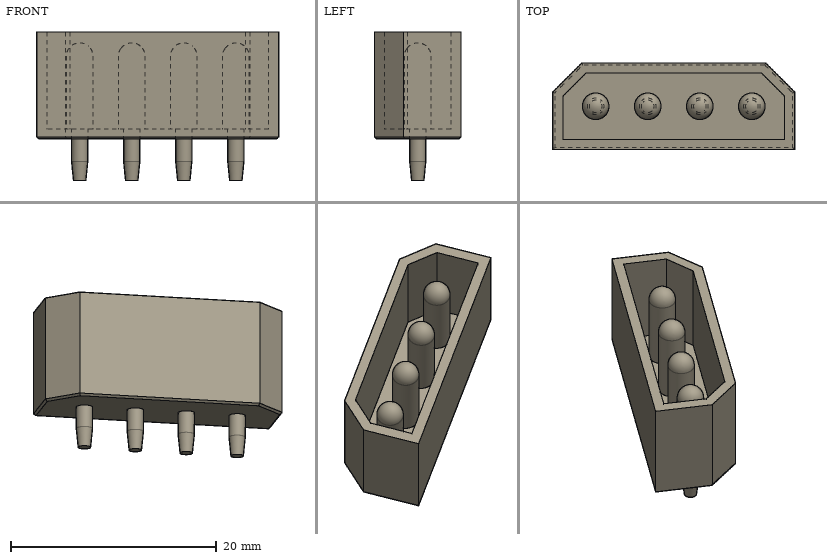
import cadquery as cq
import math

LENGTH = 23.6
WIDTH = 8.45
HOUSING_HEIGHT = 10.43
CORNER_CUT = 2.83
WALL = 1.0
FLOOR = WALL
BOTTOM_CHAMFER = 0.21

PIN_COUNT = 4
PIN_PITCH = 5.07
CONTACT_DIAMETER = 2.6
CONTACT_RECESS = 1.06
TAIL_DIAMETER = 1.6
TIP_DIAMETER = 1.23
TOTAL_HEIGHT = 14.5
TAPER_LENGTH = 1.89

TAIL_LENGTH = TOTAL_HEIGHT - HOUSING_HEIGHT
PIN_TOP = HOUSING_HEIGHT - CONTACT_RECESS


def cut_corner_block(length, width, corner_cut, height):
    """Rectangular block with both vertical corners on the +Y side cut at 45 degrees."""
    return (
        cq.Workplane("XY")
        .box(length, width, height, centered=(True, True, False))
        .edges("|Z and >Y")
        .chamfer(corner_cut)
    )


def make_pin():
    """Revolved pin on the Z axis."""
    contact_radius = CONTACT_DIAMETER / 2
    tail_radius = TAIL_DIAMETER / 2
    tip_radius = TIP_DIAMETER / 2
    dome_center = PIN_TOP - contact_radius
    dome_offset = contact_radius * math.sqrt(0.5)
    return (
        cq.Workplane("XZ")
        .moveTo(0, -TAIL_LENGTH)
        .lineTo(tip_radius, -TAIL_LENGTH)
        .lineTo(tail_radius, TAPER_LENGTH - TAIL_LENGTH)
        .lineTo(tail_radius, FLOOR)
        .lineTo(contact_radius, FLOOR)
        .lineTo(contact_radius, dome_center)
        .threePointArc((dome_offset, dome_center + dome_offset), (0, PIN_TOP))
        .close()
        .revolve(360, (0, 0, 0), (0, 1, 0))
    )


def make_housing(pin_positions):
    """Chamfered shell of even wall thickness with one hole per pin tail."""
    body = cut_corner_block(LENGTH, WIDTH, CORNER_CUT, HOUSING_HEIGHT)
    body = body.faces("<Z").edges().chamfer(BOTTOM_CHAMFER)

    inner_corner_cut = CORNER_CUT - WALL * (2 - math.sqrt(2))
    cavity = cut_corner_block(
        LENGTH - 2 * WALL, WIDTH - 2 * WALL, inner_corner_cut, HOUSING_HEIGHT - FLOOR
    )
    body = body.cut(cavity.translate((0, 0, FLOOR)))

    tail_holes = (
        cq.Workplane("XY")
        .pushPoints(pin_positions)
        .circle(TAIL_DIAMETER / 2)
        .extrude(FLOOR)
    )
    return body.cut(tail_holes)


pin_positions = [((i - (PIN_COUNT - 1) / 2) * PIN_PITCH, 0) for i in range(PIN_COUNT)]

housing = make_housing(pin_positions)
pins = [make_pin().translate((x, y, 0)) for x, y in pin_positions]

result = cq.Compound.makeCompound([housing.val(), *[pin.val() for pin in pins]])